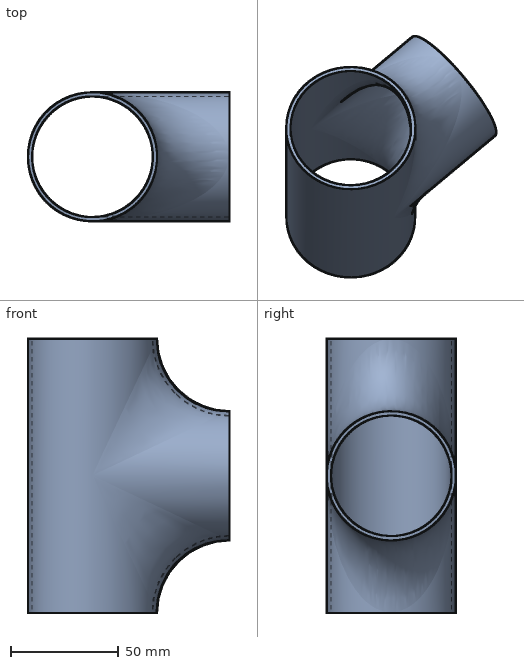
import cadquery as cq
import math

run_length = 128.0
outer_diameter = 60.3
wall = 2.0
end_margin = 0.3
blend_sections = 9
smallest_face_area = 1.638

half_run = run_length / 2
branch_length = half_run
outer_radius = outer_diameter / 2
inner_radius = outer_radius - wall
blend_reach = half_run - end_margin


def blend_distance(angle, radius):
    """Distance from the tee centre to the blend arc in the XZ plane, at an angle from X."""
    arc_radius = blend_reach - radius
    along = blend_reach * (math.cos(angle) + math.sin(angle))
    return along - math.sqrt(along**2 - 2 * blend_reach**2 + arc_radius**2)


def half_ellipse(angle, radius):
    """Half ellipse closed by its chord on the Y axis, in a plane turned about Y."""
    distance = blend_distance(angle, radius)
    plane = cq.Plane(
        origin=(0, 0, 0),
        xDir=(math.cos(angle), 0, math.sin(angle)),
        normal=(-math.sin(angle), 0, math.cos(angle)),
    )
    profile = cq.Workplane(plane).moveTo(0, -radius)
    profile = profile.ellipseArc(distance, radius, -90, 90, startAtCurrent=True)
    return profile.close().wire().val()


def blend(radius):
    """Upper crotch filler: its rounding fades to nothing at the two side points on the Y axis."""
    first_angle = math.atan2(radius, blend_reach)
    last_angle = math.pi / 2 - first_angle
    step = (last_angle - first_angle) / (blend_sections - 1)
    wires = [half_ellipse(first_angle + i * step, radius) for i in range(blend_sections)]
    loft = cq.Solid.makeLoft(wires)
    faces = [face for face in loft.Faces() if face.Area() > smallest_face_area]
    return cq.Workplane(cq.Solid.makeSolid(cq.Shell.makeShell(faces)))


def tee(radius):
    """Solid tee of the given pipe radius."""
    run = cq.Workplane("XY").workplane(offset=-half_run).circle(radius).extrude(run_length)
    run = run.rotate((0, 0, 0), (0, 0, 1), 180)
    branch = cq.Workplane("YZ").circle(radius).extrude(branch_length)
    upper_blend = blend(radius)
    lower_blend = upper_blend.mirror("XY")
    return run.union(branch).union(upper_blend).union(lower_blend)


result = tee(outer_radius).cut(tee(inner_radius))